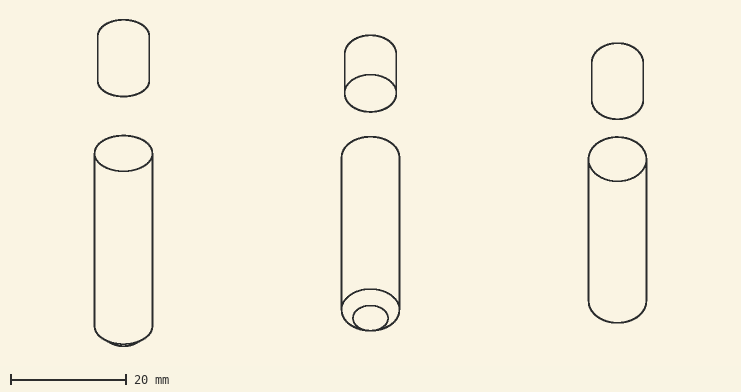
import cadquery as cq

total_height = 66.0

pin_diameter = 10.0
pin_height = 40.0
taper_height = 2.05
taper_inset = 2.0

plug_diameter = 9.0
plug_height = 10.0
plug_edge_radius = 0.3
plug_bottom = total_height - plug_height


def make_pin():
    """Upright pin standing on z = 0, revolved from its half profile."""
    pin_radius = pin_diameter / 2
    tip_radius = pin_radius - taper_inset
    profile = (
        cq.Workplane("XZ")
        .lineTo(tip_radius, 0)
        .lineTo(pin_radius, taper_height)
        .lineTo(pin_radius, pin_height)
        .lineTo(0, pin_height)
        .close()
    )
    return profile.revolve(360, (0, 0, 0), (0, 1, 0))


def make_plug():
    """Short plug with a rounded upper rim."""
    plug = cq.Workplane("XY").workplane(offset=plug_bottom).circle(plug_diameter / 2).extrude(plug_height)
    return plug.faces(">Z").edges().fillet(plug_edge_radius)


pin = make_pin()
plug = make_plug()

result = cq.Compound.makeCompound([pin.val(), plug.val()])